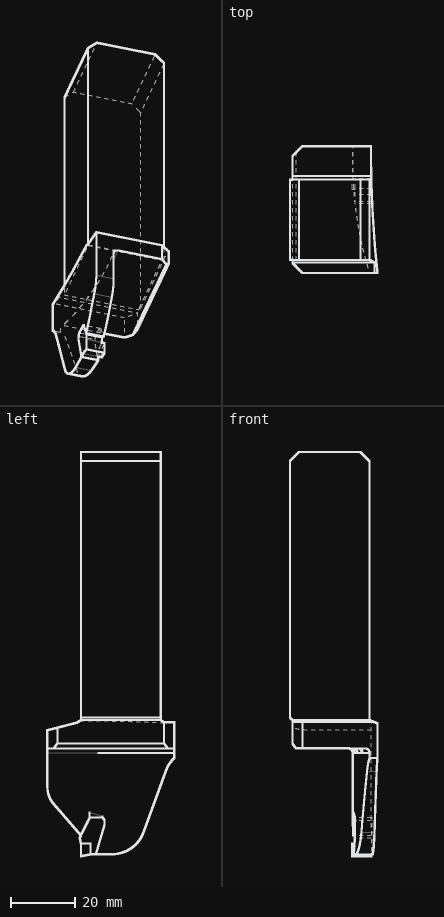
import cadquery as cq

LENGTH = 125.6
HEAD_WIDTH = 27.3
HEAD_DEPTH = 39.5

SHANK_WIDTH = 24.7
SHANK_FRONT = 4.1
SHANK_DEPTH = 24.9
SHANK_BACK = SHANK_FRONT + SHANK_DEPTH
SHANK_CHAMFER = 2.9
NECK_INSET = 0.8
NECK_Z = 42.3

FLANGE_LEFT = NECK_INSET
FLANGE_BOTTOM = 33.5
FLANGE_FRONT_TOP = 41.7
FLANGE_BACK_TOP = 39.2
FLANGE_CORNER = 3.1
FLANGE_CHAMFER_RUN = 1.1
FLANGE_CHAMFER_RISE = 1.5
FRONT_NECK_RUN = 0.9
BACK_NECK_RUN = 1.1
BACK_NECK_DROP = 0.8
SIDE_SLOPE_DROP = 1.0

MID_Y = 17.6
OUTER_MID_X = 25.7
OUTER_BACK_X = 25.2
INNER_FRONT_X = 24.7
INNER_MID_X = 20.7
INNER_BACK_X = 19.6
BLADE_ROOT_FILLET = 1.4
BLADE_BOTTOM = 0.6
BLADE_BACK_LOW_Z = 6.5

BACK_ARC = [(HEAD_DEPTH, 21.6), (38.8, 18.5), (37.2, 16.0)]
NOSE_ARC = [(19.0, BLADE_BOTTOM), (13.0, 2.8), (9.5, 7.4)]
FRONT_ARC = [(2.6, 26.4), (1.5, 28.8), (0, 30.5)]

INSERT_FACE_X = 20.2
TIP_FACE_X = 19.3
INSERT_TOP = 12.0
INSERT_RIGHT_TOP_Y = 22.2
INSERT_LEFT_TOP_Y = 26.3
INSERT_FOOT_Y = 24.4
INSERT_FRONT = 21.6
INSERT_CORNER_DROP = 0.9
INSERT_BEND_Z = 9.9
INSERT_BACK = 29.4
INSERT_BACK_Z = 5.8
TIP_BACK = 29.0
TIP_FRONT = 26.0
TIP_TOP = 4.0
TIP_BOTTOM_RISE = 0.6
LEDGE_RISE = 3.0
RELIEF_TOP = INSERT_TOP + LEDGE_RISE

PICK_MARGIN = 0.1

THROUGH = 2 * HEAD_DEPTH


def side_prism(outline, start_x, length):
    """Extrude a closed (Y, Z) outline along +X."""
    return cq.Workplane("YZ", origin=(start_x, 0, 0)).polyline(outline).close().extrude(length)


def make_shank():
    """Square bar with chamfered top edges and a tapered neck on its left side."""
    neck_start = NECK_Z + NECK_INSET
    outline = [
        (NECK_INSET, FLANGE_BACK_TOP),
        (NECK_INSET, NECK_Z),
        (0, neck_start),
        (0, LENGTH - SHANK_CHAMFER),
        (SHANK_CHAMFER, LENGTH),
        (SHANK_WIDTH - SHANK_CHAMFER, LENGTH),
        (SHANK_WIDTH, LENGTH - SHANK_CHAMFER),
        (SHANK_WIDTH, FLANGE_BACK_TOP),
    ]
    plane = cq.Workplane("XZ", origin=(0, SHANK_BACK, 0))
    return plane.polyline(outline).close().extrude(SHANK_DEPTH)


def make_head_block():
    """Stock for the head: the flange with the blade hanging from its right edge."""
    flange = (
        cq.Workplane("XY", origin=(0, 0, FLANGE_BOTTOM))
        .moveTo(FLANGE_LEFT + FLANGE_CORNER, 0)
        .lineTo(HEAD_WIDTH, 0)
        .threePointArc((OUTER_MID_X, MID_Y), (OUTER_BACK_X, HEAD_DEPTH))
        .lineTo(FLANGE_LEFT + FLANGE_CORNER, HEAD_DEPTH)
        .lineTo(FLANGE_LEFT, HEAD_DEPTH - FLANGE_CORNER)
        .lineTo(FLANGE_LEFT, FLANGE_CORNER)
        .close()
        .extrude(NECK_Z - FLANGE_BOTTOM)
    )
    lower_left = [
        (FLANGE_LEFT, FLANGE_BOTTOM),
        (FLANGE_LEFT + FLANGE_CHAMFER_RUN, FLANGE_BOTTOM),
        (FLANGE_LEFT, FLANGE_BOTTOM + FLANGE_CHAMFER_RISE),
    ]
    chamfer = cq.Workplane("XZ", origin=(0, HEAD_DEPTH, 0)).polyline(lower_left).close().extrude(HEAD_DEPTH)
    flange = flange.cut(chamfer)
    blade = (
        cq.Workplane("XY")
        .moveTo(INNER_FRONT_X, 0)
        .lineTo(HEAD_WIDTH, 0)
        .threePointArc((OUTER_MID_X, MID_Y), (OUTER_BACK_X, HEAD_DEPTH))
        .lineTo(INNER_BACK_X, HEAD_DEPTH)
        .threePointArc((INNER_MID_X, MID_Y), (INNER_FRONT_X, 0))
        .close()
        .extrude(FLANGE_BOTTOM)
    )
    head = flange.union(blade)
    root = cq.selectors.BoxSelector(
        (INNER_BACK_X - PICK_MARGIN, 0, FLANGE_BOTTOM - PICK_MARGIN),
        (INNER_FRONT_X, HEAD_DEPTH, FLANGE_BOTTOM + PICK_MARGIN),
    )
    return head.edges(root).fillet(BLADE_ROOT_FILLET)


def make_head_profile():
    """Side outline of flange and blade, extruded across the whole width."""
    return (
        cq.Workplane("YZ")
        .moveTo(0, FLANGE_FRONT_TOP)
        .lineTo(SHANK_FRONT - FRONT_NECK_RUN, FLANGE_FRONT_TOP)
        .lineTo(SHANK_FRONT, NECK_Z)
        .lineTo(SHANK_BACK, NECK_Z)
        .lineTo(SHANK_BACK + BACK_NECK_RUN, NECK_Z - BACK_NECK_DROP)
        .lineTo(HEAD_DEPTH, FLANGE_BACK_TOP)
        .lineTo(*BACK_ARC[0])
        .threePointArc(*BACK_ARC[1:])
        .lineTo(TIP_BACK, BLADE_BACK_LOW_Z)
        .lineTo(INSERT_FOOT_Y, BLADE_BOTTOM)
        .lineTo(*NOSE_ARC[0])
        .threePointArc(*NOSE_ARC[1:])
        .lineTo(*FRONT_ARC[0])
        .threePointArc(*FRONT_ARC[1:])
        .close()
        .extrude(THROUGH)
    )


def make_side_slope():
    """Cutter that slopes the top of the flange down beside the shank."""
    outline = [
        (SHANK_WIDTH, NECK_Z),
        (HEAD_WIDTH, NECK_Z - SIDE_SLOPE_DROP),
        (HEAD_WIDTH, NECK_Z),
    ]
    plane = cq.Workplane("XZ", origin=(0, HEAD_DEPTH, 0))
    return plane.polyline(outline).close().extrude(HEAD_DEPTH)


def make_insert_stock():
    """Slanted bar that fills the insert seat through the blade thickness."""
    outline = [
        (INSERT_LEFT_TOP_Y, INSERT_TOP),
        (INSERT_RIGHT_TOP_Y, INSERT_TOP),
        (INSERT_FRONT, INSERT_TOP - INSERT_CORNER_DROP),
        (INSERT_FRONT, INSERT_BEND_Z),
        (INSERT_FOOT_Y, BLADE_BOTTOM),
        (TIP_FRONT, BLADE_BOTTOM),
        (TIP_FRONT, TIP_TOP),
        (TIP_BACK, TIP_TOP),
        (INSERT_BACK, INSERT_BACK_Z),
    ]
    return side_prism(outline, INSERT_FACE_X, THROUGH)


def make_tip():
    """Raised cutting tip with a relieved bottom edge."""
    outline = [
        (TIP_FRONT, TIP_TOP),
        (TIP_BACK, TIP_TOP),
        (TIP_BACK, 0),
        (TIP_FRONT, TIP_BOTTOM_RISE),
    ]
    return side_prism(outline, TIP_FACE_X, THROUGH)


def make_seat_opening():
    """Clear the blade in front of the insert face, with a sloped ledge above it."""
    opening = make_insert_stock().translate((-INSERT_FACE_X, 0, 0))
    ledge = (
        cq.Workplane("XZ", origin=(0, INSERT_LEFT_TOP_Y, 0))
        .polyline([(TIP_FACE_X, INSERT_TOP), (INSERT_FACE_X, INSERT_TOP), (TIP_FACE_X, RELIEF_TOP)])
        .close()
        .extrude(INSERT_LEFT_TOP_Y - INSERT_RIGHT_TOP_Y)
    )
    return opening.union(ledge)


def make_holder():
    """Tool holder: shank, flange and curved blade with the insert seat."""
    head = make_head_block().intersect(make_head_profile()).cut(make_side_slope())
    return head.union(make_shank()).cut(make_seat_opening()).cut(make_tip())


def make_insert():
    """Cutting insert, trimmed to the curved outer face of the blade."""
    trim = (
        cq.Workplane("XY")
        .moveTo(0, 0)
        .lineTo(HEAD_WIDTH, 0)
        .threePointArc((OUTER_MID_X, MID_Y), (OUTER_BACK_X, HEAD_DEPTH))
        .lineTo(0, HEAD_DEPTH)
        .close()
        .extrude(FLANGE_BOTTOM)
    )
    return make_insert_stock().union(make_tip()).intersect(trim)


holder = make_holder()
insert = make_insert()
result = cq.Compound.makeCompound([holder.solids().val(), insert.solids().val()])